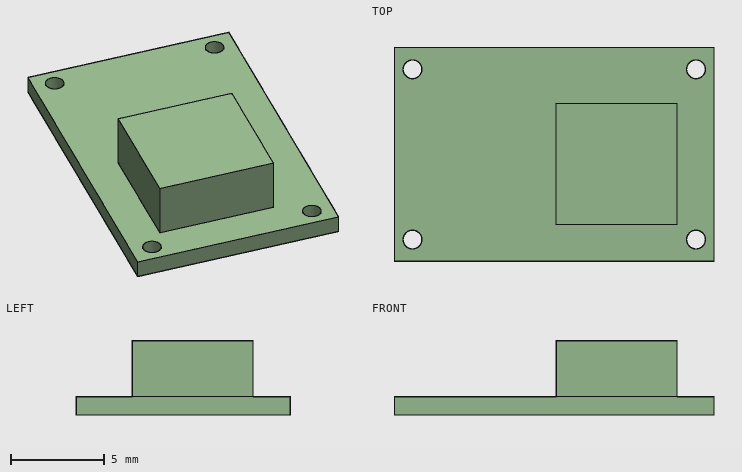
import cadquery as cq

board_length = 17.2
board_width = 11.5
board_thickness = 1.0

total_height = 4.0
block_side = 6.5
block_edge_margin = 2.0

hole_diameter = 1.0
hole_spacing_x = 15.24
hole_spacing_y = 9.15

board = cq.Workplane("XY").box(board_length, board_width, board_thickness, centered=False)

block_height = total_height - board_thickness
block_x = board_length - block_edge_margin - block_side
block = (
    cq.Workplane("XY")
    .box(block_side, block_side, block_height, centered=False)
    .translate((block_x, block_edge_margin, board_thickness))
)

holes = (
    cq.Workplane("XY")
    .center(board_length / 2, board_width / 2)
    .rect(hole_spacing_x, hole_spacing_y, forConstruction=True)
    .vertices()
    .circle(hole_diameter / 2)
    .extrude(board_thickness)
)

result = board.cut(holes).union(block)